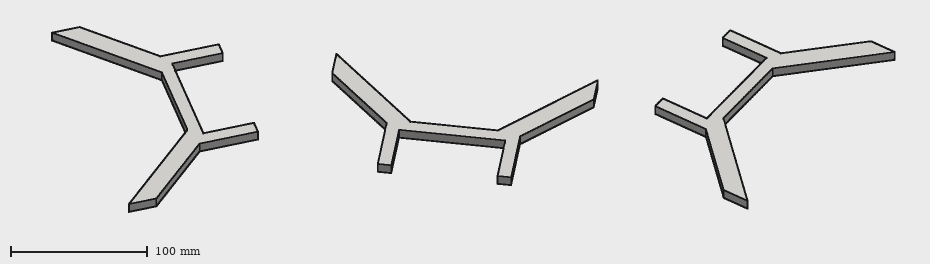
import cadquery as cq

span = 193.6
depth = 113.3
thickness = 8.0

bar_width = 10.0
prong_width = 10.0
prong_gap = 78.6

leg_end_height = 21.1
bar_underside_length = 64.7

half_span = span / 2
prong_inner_x = prong_gap / 2
prong_outer_x = prong_inner_x + prong_width
underside_x = bar_underside_length / 2

bar_bottom_y = half_span - underside_x
bar_top_y = bar_bottom_y + bar_width
leg_shoulder_y = leg_end_height + half_span - prong_outer_x

right_outline = [
    (underside_x, bar_bottom_y),
    (half_span, 0),
    (half_span, leg_end_height),
    (prong_outer_x, leg_shoulder_y),
    (prong_outer_x, depth),
    (prong_inner_x, depth),
    (prong_inner_x, bar_top_y),
]
left_outline = [(-x, y) for x, y in reversed(right_outline)]

result = cq.Workplane("XY").polyline(right_outline + left_outline).close().extrude(thickness)